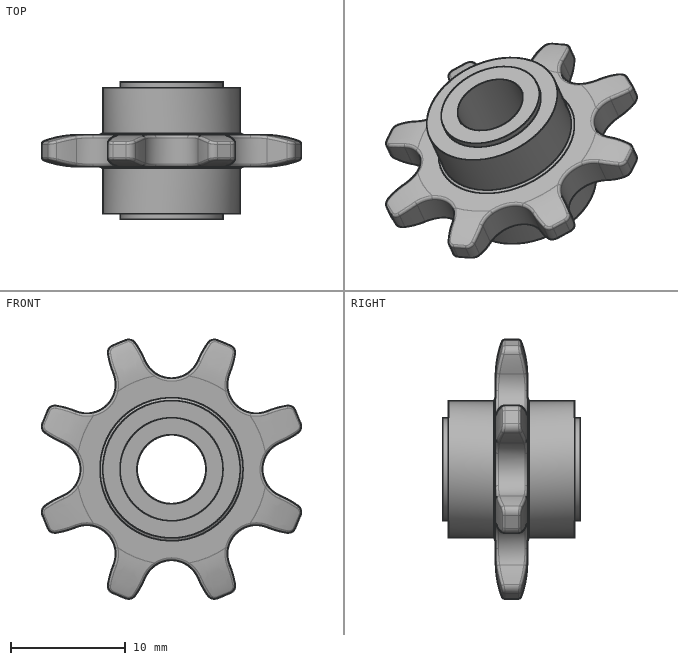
import math

import cadquery as cq


tooth_count = 8
chain_pitch = 8.0
roller_diameter = 5.0

flank_radius = 8.4
flank_start_angle = 0.6
tip_distance = 11.95
tip_corner_radius = 0.7

plate_thickness = 2.8
flat_face_radius = 8.3
face_curve_radius = 10.7
edge_fillet = 0.25

total_width = 12.0
hub_width = 11.0
hub_diameter = 12.0
shoulder_diameter = 9.0
bore_diameter = 6.0
collar_diameter = 12.5
collar_slope = 30.0

half_pitch_angle = math.pi / tooth_count
pitch_radius = chain_pitch / 2 / math.sin(half_pitch_angle)
seat_radius = roller_diameter / 2
half_thickness = plate_thickness / 2
collar_width = (collar_diameter - hub_diameter) / 2
collar_height = collar_width * math.tan(math.radians(collar_slope))
blank_radius = tip_distance + 1.0
tolerance = 0.01


def polar(distance, angle, centre=(0, 0)):
    """Point at a distance and direction from a centre."""
    return (
        centre[0] + distance * math.cos(angle),
        centre[1] + distance * math.sin(angle),
    )


def turned(point, angle):
    """Point turned about the sprocket axis."""
    return polar(math.hypot(*point), math.atan2(point[1], point[0]) + angle)


def mirrored(point):
    """Point mirrored across the horizontal axis of a sketch."""
    return (point[0], -point[1])


def flank_points():
    """Start, middle and end of the upper flank of a tooth that points to the right."""
    seat_centre = polar(pitch_radius, half_pitch_angle)
    seat_end_direction = -math.pi / 2 - math.radians(flank_start_angle)
    flank_centre = polar(seat_radius + flank_radius, seat_end_direction, seat_centre)
    start_direction = seat_end_direction + math.pi
    end_direction = math.acos((tip_distance - flank_centre[0]) / flank_radius)
    middle_direction = (start_direction + end_direction) / 2
    return [
        polar(flank_radius, direction, flank_centre)
        for direction in (start_direction, middle_direction, end_direction)
    ]


def toothed_prism():
    """Tooth outline as a straight prism with rounded tip corners."""
    start, middle, end = flank_points()
    seat_bottom = polar(pitch_radius - seat_radius, half_pitch_angle)
    pitch_angle = 2 * half_pitch_angle
    first_angle = half_pitch_angle
    outline = cq.Workplane("XZ", origin=(0, half_thickness, 0))
    outline = outline.moveTo(*turned(mirrored(start), first_angle))
    for index in range(tooth_count):
        angle = first_angle + index * pitch_angle
        next_seat_end = turned(mirrored(start), angle + pitch_angle)
        outline = (
            outline.threePointArc(turned(mirrored(middle), angle), turned(mirrored(end), angle))
            .lineTo(*turned(end, angle))
            .threePointArc(turned(middle, angle), turned(start, angle))
            .threePointArc(turned(seat_bottom, angle), next_seat_end)
        )
    prism = outline.close().extrude(plate_thickness)

    def is_tip_corner(edge):
        centre = edge.Center()
        return abs(math.hypot(centre.x, centre.z) - math.hypot(*end)) < tolerance

    return prism.edges("|Y").filter(is_tip_corner).fillet(tip_corner_radius)


def face_height(radius):
    """Height of the curved face above the mid-plane, tangent to the flat face where it starts."""
    run = radius - flat_face_radius
    return half_thickness - face_curve_radius + math.sqrt(face_curve_radius**2 - run**2)


def domed_blank():
    """Disc with flat faces that curve towards each other near the rim."""
    middle_radius = (flat_face_radius + blank_radius) / 2
    middle = (middle_radius, face_height(middle_radius))
    rim = (blank_radius, face_height(blank_radius))
    return (
        cq.Workplane("XY")
        .moveTo(0, -half_thickness)
        .lineTo(flat_face_radius, -half_thickness)
        .threePointArc(mirrored(middle), mirrored(rim))
        .lineTo(*rim)
        .threePointArc(middle, (flat_face_radius, half_thickness))
        .lineTo(0, half_thickness)
        .close()
        .revolve(360, (0, 0), (0, 1))
    )


def toothed_plate():
    """Toothed plate with the edges of its outline rounded on both faces."""

    def is_outline(edge):
        is_circle = edge.geomType() == "CIRCLE"
        return not (is_circle and abs(edge.radius() - flat_face_radius) < tolerance)

    plate = toothed_prism().intersect(domed_blank())
    return plate.edges("not |Y").filter(is_outline).fillet(edge_fillet)


def cylinder(diameter, width):
    """Cylinder along the axis, centred on the mid-plane."""
    return cq.Workplane("XZ", origin=(0, width / 2, 0)).circle(diameter / 2).extrude(width)


def collars():
    """Ring through the plate that ends in a cone against the hub on each side."""
    cone_top = half_thickness + collar_height
    return (
        cq.Workplane("XY")
        .moveTo(0, -cone_top)
        .lineTo(hub_diameter / 2, -cone_top)
        .lineTo(collar_diameter / 2, -half_thickness)
        .lineTo(collar_diameter / 2, half_thickness)
        .lineTo(hub_diameter / 2, cone_top)
        .lineTo(0, cone_top)
        .close()
        .revolve(360, (0, 0), (0, 1))
    )


result = (
    toothed_plate()
    .union(collars())
    .union(cylinder(hub_diameter, hub_width))
    .union(cylinder(shoulder_diameter, total_width))
    .cut(cylinder(bore_diameter, total_width))
)